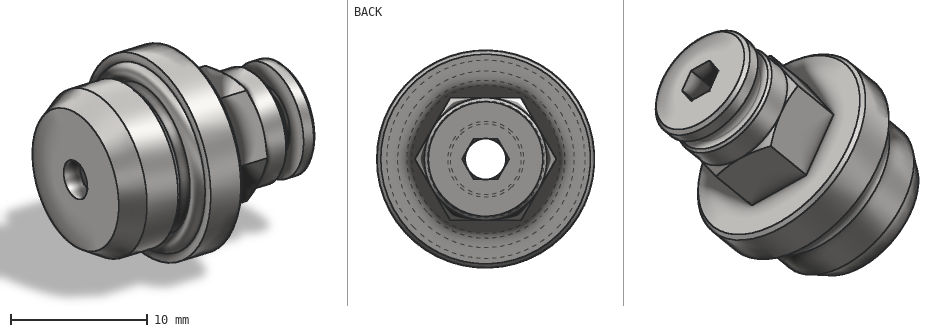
import cadquery as cq
import math

total_length = 18.6
nose_taper_length = 1.8
thread_end = 4.61
groove_start = 5.28
flange_start = 6.5
flange_end = 9.5
hex_end = 14.0
body_end = 16.0
neck_start = 16.2
collar_start = 17.4

nose_radius = 5.45
thread_radius = 6.5
groove_radius = 5.8
flange_radius = 8.0
body_radius = 4.5
neck_radius = 2.6
neck_cone_radius = 3.6
neck_flare = 0.19
edge_chamfer = 0.3
body_chamfer = 0.2

seal_outer_radius = 7.3
seal_height = 0.67

hex_across_flats = 9.0
hex_chamfer_angle = 30.0

bore_diameter = 3.0
bore_depth = 1.5
socket_across_flats = 3.0


def hex_prism(across_flats, start, end):
    """Hexagonal prism along +Y between two Y positions, flats facing Z."""
    corner_diameter = across_flats / math.cos(math.radians(30))
    return (
        cq.Workplane("XZ", origin=(0, start, 0))
        .polygon(6, corner_diameter)
        .extrude(start - end)
    )


def revolve_about_y(profile):
    """Turn a closed XY profile into a solid of revolution."""
    return profile.close().revolve(360, (0, 0, 0), (0, 1, 0))


def threaded_nose():
    return revolve_about_y(
        cq.Workplane("XY")
        .lineTo(nose_radius, 0)
        .lineTo(thread_radius, nose_taper_length)
        .lineTo(thread_radius, thread_end)
        .lineTo(groove_radius, groove_start)
        .lineTo(groove_radius, flange_start)
        .lineTo(0, flange_start)
    )


def flange():
    return revolve_about_y(
        cq.Workplane("XY")
        .moveTo(0, flange_start)
        .lineTo(flange_radius, flange_start)
        .lineTo(flange_radius, flange_end - edge_chamfer)
        .lineTo(flange_radius - edge_chamfer, flange_end)
        .lineTo(0, flange_end)
    )


def seal_ring():
    """O-ring filling the groove, slightly sunk into the flange."""
    tube_radius = (seal_outer_radius - groove_radius) / 2
    ring_radius = groove_radius + tube_radius
    ring_centre = flange_start - seal_height + tube_radius
    return (
        cq.Workplane("XY")
        .center(ring_radius, ring_centre)
        .circle(tube_radius)
        .revolve(360, (-ring_radius, 0, 0), (-ring_radius, 1, 0))
    )


def wrench_hexagon():
    """Hexagon whose corners are turned to a cone at the body end."""
    corner_radius = hex_across_flats / 2 / math.cos(math.radians(30))
    cone_length = (corner_radius - body_radius) * math.tan(math.radians(hex_chamfer_angle))
    envelope = revolve_about_y(
        cq.Workplane("XY")
        .moveTo(0, flange_end)
        .lineTo(corner_radius, flange_end)
        .lineTo(corner_radius, hex_end - cone_length)
        .lineTo(body_radius, hex_end)
        .lineTo(0, hex_end)
    )
    return hex_prism(hex_across_flats, flange_end, hex_end).intersect(envelope)


def body_and_collar():
    """Round body, neck and release collar."""
    flare_radius = neck_radius + neck_flare
    return revolve_about_y(
        cq.Workplane("XY")
        .moveTo(0, hex_end)
        .lineTo(body_radius, hex_end)
        .lineTo(body_radius, body_end - body_chamfer)
        .lineTo(body_radius - body_chamfer, body_end)
        .lineTo(neck_cone_radius, body_end)
        .lineTo(neck_radius, neck_start)
        .lineTo(neck_radius, collar_start - neck_flare)
        .lineTo(flare_radius, collar_start)
        .lineTo(body_radius, collar_start)
        .lineTo(body_radius, total_length - edge_chamfer)
        .lineTo(body_radius - edge_chamfer, total_length)
        .lineTo(0, total_length)
    )


def passage():
    bore = cq.Workplane("XZ").circle(bore_diameter / 2).extrude(-bore_depth)
    return bore.union(hex_prism(socket_across_flats, bore_depth, total_length))


result = (
    threaded_nose()
    .union(flange())
    .union(seal_ring())
    .union(wrench_hexagon())
    .union(body_and_collar())
    .cut(passage())
)